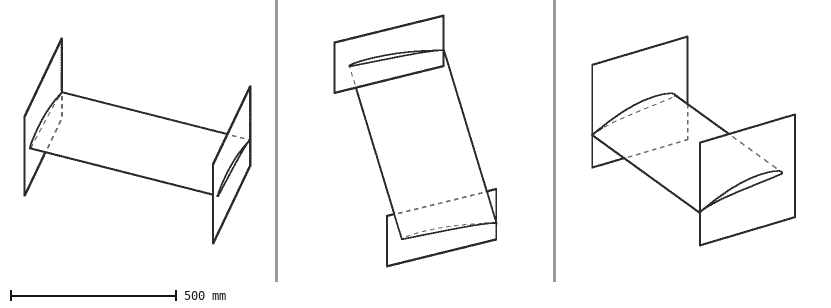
import cadquery as cq

span = 604.0
plate_thickness = 2.0
plate_depth = 341.0
plate_height = 350.0

nose = (46.0, 164.0)
tail_upper = (342.5, 112.5)
tail_lower = (342.5, 111.0)
upper_surface = [
    (49.0, 168.5),
    (61.0, 174.0),
    (81.5, 178.0),
    (110.0, 180.0),
    (174.0, 174.5),
    (238.5, 157.5),
    (295.5, 134.5),
]
lower_surface = [
    (325.0, 119.5),
    (304.0, 126.0),
    (263.0, 135.0),
    (206.5, 143.0),
    (125.0, 151.5),
    (53.0, 159.5),
    (47.0, 161.0),
]


def end_plate(left_x):
    """Thin upright plate with its -X face at left_x."""
    plate = cq.Workplane("XY").box(plate_thickness, plate_depth, plate_height, centered=False)
    return plate.translate((left_x, 0, 0))


def wing():
    """Cambered wing running through both end plates, with a narrow blunt tail."""
    return (
        cq.Workplane("YZ")
        .workplane(offset=-span / 2)
        .moveTo(*nose)
        .spline([*upper_surface, tail_upper], includeCurrent=True)
        .lineTo(*tail_lower)
        .spline([*lower_surface, nose], includeCurrent=True)
        .close()
        .extrude(span)
    )


result = wing()
for left_x in (-span / 2, span / 2 - plate_thickness):
    result = result.union(end_plate(left_x))